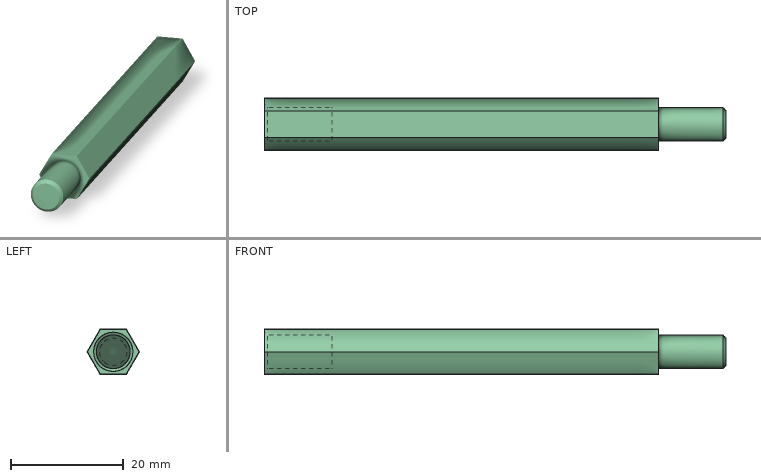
import cadquery as cq
import math

total_length = 82.0
stud_length = 12.0
body_length = total_length - stud_length

across_flats = 8.0
across_corners = across_flats / math.cos(math.pi / 6)

thread_diameter = 6.0
stud_chamfer = 0.6
hole_chamfer = 0.5
hole_depth = stud_length


def hex_body():
    """Hexagonal bar with flats on top and bottom and corners pointing along Y."""
    return cq.Workplane("YZ").polygon(6, across_corners).extrude(body_length)


def stud():
    """Plain round stud with a chamfered tip."""
    return (
        cq.Workplane("YZ", origin=(body_length, 0, 0))
        .circle(thread_diameter / 2)
        .extrude(stud_length)
        .faces(">X")
        .chamfer(stud_chamfer)
    )


def blind_hole():
    """Flat-bottomed hole with a countersunk mouth, as a solid of revolution about X."""
    hole_radius = thread_diameter / 2
    mouth_radius = hole_radius + hole_chamfer
    return (
        cq.Workplane("XZ")
        .moveTo(0, 0)
        .lineTo(0, mouth_radius)
        .lineTo(hole_chamfer, hole_radius)
        .lineTo(hole_depth, hole_radius)
        .lineTo(hole_depth, 0)
        .close()
        .revolve(360, (0, 0, 0), (1, 0, 0))
    )


result = hex_body().union(stud()).cut(blind_hole())